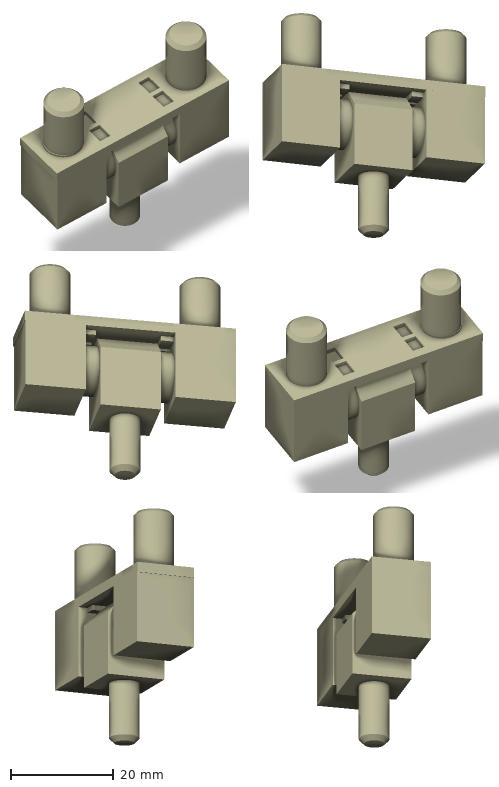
import cadquery as cq

TOTAL_HEIGHT = 43.0
WIDTH = 12.0
OVERLAP = 0.45

PLATE_LENGTH = 42.0
PLATE_THICKNESS = 2.0
TAB_WIDTH = 3.6
TAB_LENGTH = 2.55
TAB_GAP = 0.95
TAB_DEPTH = 1.0

BLOCK_LENGTH = WIDTH
BLOCK_GAP = 2.92
END_BLOCK_HEIGHT = 13.98
MIDDLE_BLOCK_HEIGHT = 16.0
MIDDLE_BLOCK_DROP = 1.0
MIDDLE_CHAMFER = 3.5
STUB_DIAMETER = 9.98

UPPER_STUD_DIAMETER = 8.0
UPPER_STUD_CHAMFER = 0.77
PAD_RISE = 0.47
LOWER_STUD_DIAMETER = 6.0
LOWER_STUD_LENGTH = 12.0
LOWER_STUD_CHAMFER = 1.0

MIDDLE_BOTTOM = LOWER_STUD_LENGTH
MIDDLE_TOP = MIDDLE_BOTTOM + MIDDLE_BLOCK_HEIGHT
PLATE_BOTTOM = MIDDLE_TOP + MIDDLE_BLOCK_DROP
PLATE_TOP = PLATE_BOTTOM + PLATE_THICKNESS
PAD_TOP = PLATE_TOP + PAD_RISE
STUB_AXIS_Z = PLATE_BOTTOM - END_BLOCK_HEIGHT / 2

END_BLOCK_Y = BLOCK_LENGTH + BLOCK_GAP
PLATE_Y_MAX = END_BLOCK_Y + BLOCK_LENGTH / 2
PLATE_Y = PLATE_Y_MAX - PLATE_LENGTH / 2
PAD_OFFSET = PLATE_LENGTH / 2 - BLOCK_LENGTH / 2
TAB_OFFSET = PLATE_LENGTH / 2 - BLOCK_LENGTH - TAB_LENGTH / 2

SIDES = (1, -1)


def box(width, length, height, y, bottom):
    """Box centred on X = 0 and on the given Y, standing on the given height."""
    return (
        cq.Workplane("XY", origin=(0, y, bottom))
        .box(width, length, height, centered=(True, True, False))
    )


def cylinder(diameter, height, y, bottom):
    """Upright cylinder on X = 0."""
    return cq.Workplane("XY", origin=(0, y, bottom)).circle(diameter / 2).extrude(height)


def tab_blocks(bottom):
    """Four small boxes at the tab places, one pair beside each end block."""
    tab_x = (TAB_GAP + TAB_WIDTH) / 2
    places = [(x * tab_x, y * TAB_OFFSET) for x in SIDES for y in SIDES]
    return (
        cq.Workplane("XY", origin=(0, PLATE_Y, bottom))
        .pushPoints(places)
        .rect(TAB_WIDTH, TAB_LENGTH)
        .extrude(TAB_DEPTH)
    )


def end_block_body(side):
    """Plain box of an end block, hanging under the plate."""
    bottom = PLATE_BOTTOM - END_BLOCK_HEIGHT
    return box(WIDTH, BLOCK_LENGTH, END_BLOCK_HEIGHT, side * END_BLOCK_Y, bottom)


def make_plate():
    """Plate with a round pad near each end and tabs pressed down out of recesses."""
    plate = box(WIDTH, PLATE_LENGTH, PLATE_THICKNESS, PLATE_Y, PLATE_BOTTOM)
    plate = plate.cut(tab_blocks(PLATE_TOP - TAB_DEPTH))
    plate = plate.union(tab_blocks(PLATE_BOTTOM - TAB_DEPTH))
    for side in SIDES:
        pad_y = PLATE_Y + side * PAD_OFFSET
        plate = plate.union(
            cylinder(UPPER_STUD_DIAMETER, PAD_RISE + OVERLAP, pad_y, PLATE_TOP - OVERLAP)
        )
        plate = plate.cut(end_block_body(side))
    return plate


def make_end_block(side):
    """End block with a hinge stub reaching to the middle block."""
    stub = (
        cq.Workplane("XZ", origin=(0, side * BLOCK_LENGTH / 2, STUB_AXIS_Z))
        .circle(STUB_DIAMETER / 2)
        .extrude(-side * (BLOCK_GAP + OVERLAP))
    )
    return end_block_body(side).union(stub)


def make_middle_block():
    """Middle block with both long top edges chamfered."""
    block = box(WIDTH, BLOCK_LENGTH, MIDDLE_BLOCK_HEIGHT, 0, MIDDLE_BOTTOM)
    return block.faces(">Z").edges("|Y").chamfer(MIDDLE_CHAMFER)


def make_upper_stud(side):
    """Stud standing on a plate pad, above the centre of an end block, with a chamfered tip."""
    stud = cylinder(UPPER_STUD_DIAMETER, TOTAL_HEIGHT - PAD_TOP, side * END_BLOCK_Y, PAD_TOP)
    return stud.faces(">Z").edges().chamfer(UPPER_STUD_CHAMFER)


def make_lower_stud():
    """Stud hanging under the middle block, with a chamfered tip."""
    stud = cylinder(LOWER_STUD_DIAMETER, LOWER_STUD_LENGTH, 0, 0)
    return stud.faces("<Z").edges().chamfer(LOWER_STUD_CHAMFER)


plate = make_plate()
end_blocks = [make_end_block(side) for side in SIDES]
upper_studs = [make_upper_stud(side) for side in SIDES]
middle_block = make_middle_block()
lower_stud = make_lower_stud()

result = cq.Compound.makeCompound(
    [
        plate.solids().val(),
        *[block.solids().val() for block in end_blocks],
        *[stud.solids().val() for stud in upper_studs],
        middle_block.solids().val(),
        lower_stud.solids().val(),
    ]
)